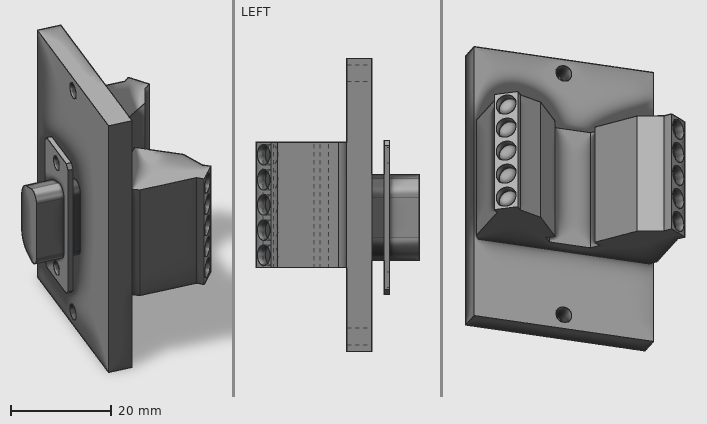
import cadquery as cq
import math

panel_width = 38.0
panel_height = 58.4
panel_thickness = 5.05
panel_hole_diameter = 3.3
panel_hole_spacing = 52.4

terminal_count = 5
terminal_pitch = 5.0
block_height = terminal_count * terminal_pitch
block_depth = 18.0
block_half_width = 19.15
block_foot_half_width = 18.1
block_foot_height = 1.6
lip_half_width = 20.2
lip_corner_depth = 15.0
lip_base_depth = 13.8
peak_half_width = 16.3

channel_floor = (4.3, 3.55)
channel_undercut = (5.7, 5.3)
channel_catch = (4.2, 6.5)
shoulder_inner = (10.2, 14.55)
shoulder_outer = (15.2, 16.6)

wire_hole_diameter = 4.1
wire_hole_depth = 2.0

connector_z = -2.5
flange_width = 12.4
flange_height = 30.7
flange_thickness = 1.1
flange_gap = 2.45
flange_chamfer = 1.0
flange_hole_diameter = 3.0
flange_hole_spacing = 24.8

shell_length = 9.45
shell_offset_x = 0.05
shell_width = 7.9
shell_short_side = 13.8
shell_end_angle = 17.0
shell_short_side_radius = 4.0
shell_long_side_radius = 2.1


def upright_plane(y):
    """Plane across the part at depth y: local x is +X, local y is +Z, normal is -Y."""
    return cq.Workplane("XZ", origin=(0, y, 0))


def make_panel():
    holes = [(0, side * panel_hole_spacing / 2) for side in (-1, 1)]
    plate = upright_plane(0).rect(panel_width, panel_height).extrude(panel_thickness)
    cutters = upright_plane(0).pushPoints(holes).circle(panel_hole_diameter / 2).extrude(panel_thickness)
    return plate.cut(cutters)


def make_block():
    right_half = [
        (block_foot_half_width, 0),
        (block_half_width, block_foot_height),
        (block_half_width, lip_base_depth),
        (lip_half_width, lip_corner_depth),
        (peak_half_width, block_depth),
        shoulder_outer,
        shoulder_inner,
        channel_catch,
        channel_undercut,
        channel_floor,
    ]
    left_half = [(-x, y) for x, y in reversed(right_half)]
    outline = cq.Workplane("XY").polyline(right_half + left_half).close()
    return outline.extrude(block_height / 2, both=True)


def make_wire_holes():
    """Both rows of blind holes, centred across the sloped faces."""
    slope_run = lip_half_width - peak_half_width
    slope_rise = block_depth - lip_corner_depth
    middle_x = (lip_half_width + peak_half_width) / 2
    middle_y = (lip_corner_depth + block_depth) / 2
    first_z = -(terminal_count - 1) * terminal_pitch / 2
    holes = cq.Workplane("XY")
    for side in (-1, 1):
        inward = cq.Vector(-side * slope_rise, -slope_run, 0)
        for index in range(terminal_count):
            mouth = cq.Vector(side * middle_x, middle_y, first_z + index * terminal_pitch)
            hole = cq.Solid.makeCylinder(wire_hole_diameter / 2, wire_hole_depth, mouth, inward)
            holes = holes.add(hole)
    return holes.combine()


def make_flange():
    plane = upright_plane(-panel_thickness - flange_gap).center(0, connector_z)
    holes = [(0, side * flange_hole_spacing / 2) for side in (-1, 1)]
    plate = plane.rect(flange_width, flange_height).extrude(flange_thickness)
    plate = plate.edges("|Y").chamfer(flange_chamfer)
    cutters = plane.pushPoints(holes).circle(flange_hole_diameter / 2).extrude(flange_thickness)
    return plate.cut(cutters)


def make_shell():
    half_width = shell_width / 2
    half_short = shell_short_side / 2
    half_long = half_short + shell_width * math.tan(math.radians(shell_end_angle))
    corners = [
        (-half_width, -half_short),
        (half_width, -half_long),
        (half_width, half_long),
        (-half_width, half_short),
    ]
    plane = upright_plane(-panel_thickness).center(shell_offset_x, connector_z)
    shell = plane.polyline(corners).close().extrude(shell_length)
    shell = shell.edges("|Y and <X").fillet(shell_short_side_radius)
    return shell.edges("|Y and >X").fillet(shell_long_side_radius)


block = make_block().cut(make_wire_holes())
result = make_panel().union(block).union(make_shell()).union(make_flange())